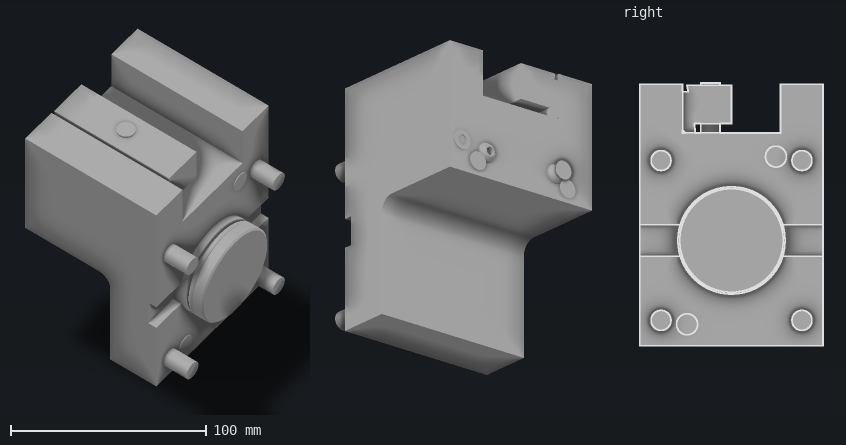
import cadquery as cq


BODY_LENGTH = 85.0
BODY_WIDTH = 94.0
BODY_TOP = 80.2
BODY_BOTTOM = -54.0
OVERHANG_UNDERSIDE = 10.1
LEG_THICKNESS = 29.9
CORNER_RADIUS = 8.0
OUTER_FACE = -BODY_LENGTH

KEY_WIDTH = 16.0
KEY_DEPTH = 5.0

SLOT_WIDTH = 50.1
SLOT_DEPTH = 25.0
SLOT_FLOOR = BODY_TOP - SLOT_DEPTH
SLOT_WALL = -SLOT_WIDTH / 2

CLAMP_LENGTH = 74.6
CLAMP_DROP = 0.5
CLAMP_TOP = BODY_TOP - CLAMP_DROP
CLAMP_UNDERSIDE = 59.8
GROOVE_FLOOR = 76.3
GROOVE_TOP_EDGE = -22.9
GROOVE_BOTTOM_EDGE = -22.2
FOOT_TOP_EDGE = -19.0
FOOT_BOTTOM_EDGE = -18.5
FOOT_RELIEF = 1.3
BOLT_RADIUS = 5.0
BOLT_Y = -10.8
BOLT_PROTRUSION = 0.5

SHANK_RADIUS = 27.5
SHANK_LENGTH = 15.0
SHANK_CHAMFER = 1.0
RING_GROOVE_START = 3.9
RING_GROOVE_END = 8.2
RING_GROOVE_RADIUS = 24.8
RING_SECTION_RADIUS = 1.6
RING_CENTRE_X = RING_GROOVE_END - RING_SECTION_RADIUS

PIN_RADIUS = 5.1
PIN_Y = 36.1
PIN_Z = 41.0

PLUG_RADIUS = 5.4
PLUG_HEIGHT = 0.5
MOUNTING_PLUG_Y = 22.8
MOUNTING_PLUG_Z = 43.0
OUTER_PLUG_Y = 39.1
OUTER_PLUG_Z = 27.0
OUTER_PLUG_BORE = 2.8

NOZZLE_Y = 22.8
NOZZLE_Z = 24.1
DOME_BASE_RADIUS = 5.5
DOME_TIP_RADIUS = 3.0
DOME_HEIGHT = 3.0
DOME_MID_RADIUS = 4.6
NOZZLE_BORE_RADIUS = 2.3
FLARE_NECK_RADIUS = 2.7
FLARE_RADIUS = 5.1
NECK_LENGTH = 0.8
FLARE_LENGTH = 3.0

TAPER_Y = 29.8
TAPER_Z = 17.2
TAPER_RADIUS = 5.1
TAPER_ROOT_RADIUS = 3.5
TAPER_HEIGHT = 1.5
TAPER_LIP = 0.4

EMBED = 1.3


def box(x_min, x_max, y_min, y_max, z_min, z_max):
    size = (x_max - x_min, y_max - y_min, z_max - z_min)
    return cq.Workplane().box(*size, centered=False).translate((x_min, y_min, z_min))


def rod(x_start, x_end, y, z, radius):
    """Cylinder along X."""
    return cq.Workplane("YZ", origin=(x_start, y, z)).circle(radius).extrude(x_end - x_start)


def turn_outward(profile, y, z):
    """Turn a (height, radius) profile about an axis that points out of the outer face, toward -X."""
    turned = profile.close().revolve(360, (0, 0), (1, 0))
    return turned.rotate((0, 0, 0), (0, 0, 1), 180).translate((OUTER_FACE, y, z))


def make_body():
    outline = (
        cq.Workplane("XZ")
        .moveTo(0, BODY_BOTTOM)
        .lineTo(0, BODY_TOP)
        .lineTo(OUTER_FACE, BODY_TOP)
        .lineTo(OUTER_FACE, OVERHANG_UNDERSIDE)
        .lineTo(-LEG_THICKNESS - CORNER_RADIUS, OVERHANG_UNDERSIDE)
        .radiusArc((-LEG_THICKNESS, OVERHANG_UNDERSIDE - CORNER_RADIUS), CORNER_RADIUS)
        .lineTo(-LEG_THICKNESS, BODY_BOTTOM)
        .close()
    )
    block = outline.extrude(BODY_WIDTH / 2, both=True)
    tool_slot = box(OUTER_FACE, 0, SLOT_WALL, -SLOT_WALL, SLOT_FLOOR, BODY_TOP)
    key_slot = box(-KEY_DEPTH, 0, -BODY_WIDTH / 2, BODY_WIDTH / 2, -KEY_WIDTH / 2, KEY_WIDTH / 2)
    return block.cut(tool_slot).cut(key_slot)


def make_clamp():
    section = [
        (0, CLAMP_TOP),
        (0, CLAMP_UNDERSIDE),
        (FOOT_TOP_EDGE, CLAMP_UNDERSIDE),
        (FOOT_BOTTOM_EDGE, SLOT_FLOOR),
        (SLOT_WALL + FOOT_RELIEF, SLOT_FLOOR),
        (SLOT_WALL, SLOT_FLOOR + FOOT_RELIEF),
        (SLOT_WALL, GROOVE_FLOOR),
        (GROOVE_BOTTOM_EDGE, GROOVE_FLOOR),
        (GROOVE_TOP_EDGE, CLAMP_TOP),
    ]
    bar = cq.Workplane("YZ", origin=(OUTER_FACE, 0, 0)).polyline(section).close().extrude(CLAMP_LENGTH)
    bolt_base = cq.Workplane(origin=(OUTER_FACE + CLAMP_LENGTH / 2, BOLT_Y, SLOT_FLOOR - EMBED))
    bolt = bolt_base.circle(BOLT_RADIUS).extrude(SLOT_DEPTH + BOLT_PROTRUSION + EMBED)
    return bar.union(bolt)


def make_shank():
    core = rod(-KEY_DEPTH, SHANK_LENGTH, 0, 0, SHANK_RADIUS).faces(">X").chamfer(SHANK_CHAMFER)
    groove = rod(RING_GROOVE_START, RING_GROOVE_END, 0, 0, SHANK_RADIUS).cut(
        rod(RING_GROOVE_START, RING_GROOVE_END, 0, 0, RING_GROOVE_RADIUS)
    )
    ring_section = cq.Workplane("XY").moveTo(RING_CENTRE_X, SHANK_RADIUS - RING_SECTION_RADIUS)
    ring = ring_section.circle(RING_SECTION_RADIUS).revolve(360, (0, 0), (1, 0))
    return core.cut(groove).union(ring)


def dome_profile():
    return (
        cq.Workplane("XY")
        .moveTo(-EMBED, 0)
        .lineTo(-EMBED, DOME_BASE_RADIUS)
        .lineTo(0, DOME_BASE_RADIUS)
        .threePointArc((DOME_HEIGHT / 2, DOME_MID_RADIUS), (DOME_HEIGHT, DOME_TIP_RADIUS))
    )


def make_open_nozzle(y, z):
    dome = turn_outward(dome_profile().lineTo(DOME_HEIGHT, 0), y, z)
    bore = rod(OUTER_FACE - DOME_HEIGHT, OUTER_FACE, y, z, NOZZLE_BORE_RADIUS)
    return dome.cut(bore)


def make_flared_nozzle(y, z):
    flare_start = DOME_HEIGHT + NECK_LENGTH
    flare_end = flare_start + FLARE_LENGTH
    profile = (
        dome_profile()
        .lineTo(DOME_HEIGHT, FLARE_NECK_RADIUS)
        .lineTo(flare_start, FLARE_NECK_RADIUS)
        .lineTo(flare_end, FLARE_RADIUS)
        .lineTo(flare_end, 0)
    )
    return turn_outward(profile, y, z)


def make_tapered_plug(y, z, lip):
    profile = (
        cq.Workplane("XY")
        .moveTo(-EMBED, 0)
        .lineTo(-EMBED, TAPER_ROOT_RADIUS)
        .lineTo(0, TAPER_ROOT_RADIUS)
        .lineTo(TAPER_HEIGHT, TAPER_RADIUS)
    )
    if lip > 0:
        profile = profile.lineTo(TAPER_HEIGHT + lip, TAPER_RADIUS)
    return turn_outward(profile.lineTo(TAPER_HEIGHT + lip, 0), y, z)


def make_outer_plug():
    tip = OUTER_FACE - PLUG_HEIGHT
    disc = rod(tip, OUTER_FACE + EMBED, OUTER_PLUG_Y, OUTER_PLUG_Z, PLUG_RADIUS)
    recess = rod(tip, OUTER_FACE, OUTER_PLUG_Y, OUTER_PLUG_Z, OUTER_PLUG_BORE)
    return disc.cut(recess)


result = make_body().union(make_clamp()).union(make_shank())

for y_sign in (-1, 1):
    for z_sign in (-1, 1):
        result = result.union(rod(-EMBED, SHANK_LENGTH, y_sign * PIN_Y, z_sign * PIN_Z, PIN_RADIUS))

for side in (-1, 1):
    plug_y = side * MOUNTING_PLUG_Y
    plug_z = side * MOUNTING_PLUG_Z
    result = result.union(rod(-EMBED, PLUG_HEIGHT, plug_y, plug_z, PLUG_RADIUS))

result = result.union(make_outer_plug())
result = result.union(make_open_nozzle(NOZZLE_Y, NOZZLE_Z))
result = result.union(make_flared_nozzle(-NOZZLE_Y, NOZZLE_Z))
result = result.union(make_tapered_plug(TAPER_Y, TAPER_Z, TAPER_LIP))
result = result.union(make_tapered_plug(-TAPER_Y, TAPER_Z, 0))